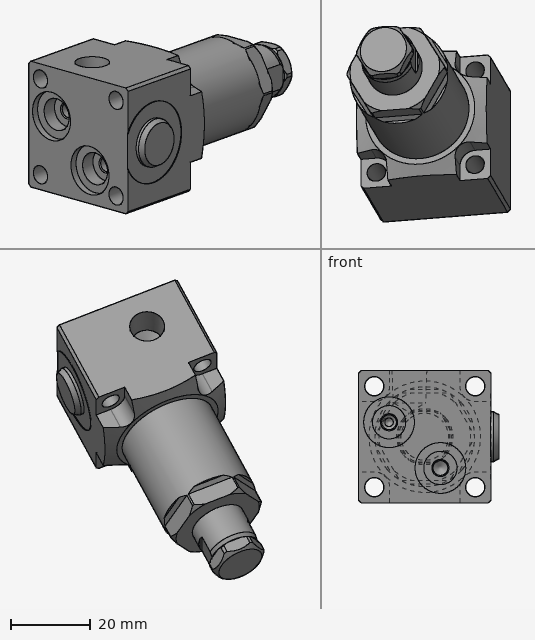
import cadquery as cq
import math


BLOCK_SIDE = 33.35
BLOCK_HALF = BLOCK_SIDE / 2
BLOCK_LENGTH = 30.2
EDGE_CHAMFER = 0.75
BACK_CONE_RADIUS = 14.0
BACK_CONE_SLOPE = 0.48

BOLT_OFFSET = 12.7
BOLT_HOLE_DIAMETER = 4.75
BOLT_SEAT_Y = 23.7
BOLT_SEAT_RADIUS = 3.85

PORT_CENTERS = [(-9.0, 3.6), (3.9, -7.85)]
SEAL_RECESS_DIAMETER = 12.75
SEAL_RECESS_DEPTH = 1.9
PORT_BORE_DIAMETER = 8.4
PORT_BORE_END = 5.85
PASSAGE_MOUTH_DIAMETER = 4.3
PASSAGE_DIAMETER = 3.7
PASSAGE_END = 11.85
BLEED_DIAMETER = 2.15
BLEED_END = 14.8
DRILL_POINT_ANGLE = 118.0

TOP_PORT_X = -3.85
CROSS_AXIS_Y = 9.6
TOP_PORT_MOUTH_DIAMETER = 8.75
TOP_PORT_END_DIAMETER = 8.15
TOP_PORT_DEPTH = 8.15

PLUG_RADIUS = 6.3
PLUG_END_RADIUS = 5.55
PLUG_RIM_X = 17.3
PLUG_END_X = 18.7
SPOT_FACE_RADIUS = 10.7
SPOT_FACE_DEPTH = 0.2

BODY_RADIUS = 12.5
BODY_END = 60.5
BODY_CHAMFER = 1.05
BODY_FLAT = 11.0
BODY_FLAT_START = 56.0
BODY_RUNOUT_LENGTH = 1.0
BODY_RUNOUT_RISE = 0.9

STEM_RADIUS = 7.05
STEM_END = 70.55
STEM_CHAMFER_LENGTH = 1.1
STEM_TIP_RADIUS = 6.7
STEM_FLAT = 6.2
STEM_FLAT_START = 64.7
STEM_RUNOUT = 0.4

NUT_END = 74.1
NUT_RADIUS = 7.1
NUT_FLAT = 6.4
NUT_FRONT_RADIUS = 6.7
NUT_FRONT_CHAMFER = 0.45
NUT_TIP_RADIUS = 5.9
NUT_TIP_CHAMFER = 1.2

HEX_ANGLES = [60 * i for i in range(6)]
STEM_FLAT_ANGLES = [90, 270]
CLEAR = 22.2


def turned(profile, x=0.0, z=0.0):
    """Revolve (radius, y) points about a line parallel to Y through (x, z)."""
    start_y = profile[0][1]
    end_radius, end_y = profile[-1]
    points = [(0, start_y)] + profile
    if end_radius > 0:
        points.append((0, end_y))
    solid = cq.Workplane("XY").polyline(points).close().revolve(360, (0, 0, 0), (0, 1, 0))
    return solid.translate((x, 0, z))


def drill_tip(radius):
    """Length of the conical end left by a drill."""
    return radius / math.tan(math.radians(DRILL_POINT_ANGLE / 2))


def cut_flats(solid, angles, flat, start, end, runout_length=0.0, runout_rise=0.0):
    """Cut flats at a distance from the Y axis; a run-out slopes up to a wall before the start."""
    wall_y = start - runout_length
    profile = [(end, flat), (start, flat)]
    if runout_length > 0:
        profile.append((wall_y, flat + runout_rise))
    profile += [(wall_y, CLEAR), (end, CLEAR)]
    cutter = cq.Workplane("YZ").polyline(profile).close().extrude(CLEAR, both=True)
    for angle in angles:
        solid = solid.cut(cutter.rotate((0, 0, 0), (0, 1, 0), angle))
    return solid


def make_block():
    block = (
        cq.Workplane("XY")
        .box(BLOCK_SIDE, BLOCK_LENGTH, BLOCK_SIDE, centered=(True, False, True))
        .edges("|Y")
        .chamfer(EDGE_CHAMFER)
    )
    outer_radius = BLOCK_SIDE
    cone_drop = BACK_CONE_SLOPE * (outer_radius - BACK_CONE_RADIUS)
    envelope = turned([
        (outer_radius, 0),
        (outer_radius, BLOCK_LENGTH - cone_drop),
        (BACK_CONE_RADIUS, BLOCK_LENGTH),
    ])
    return block.intersect(envelope)


def cut_bolt_corners(block):
    """Through holes with round-cornered bolt head seats open to both outer sides."""
    seat_inner = BOLT_OFFSET - BOLT_SEAT_RADIUS
    seat_side = CLEAR - seat_inner
    seat = (
        cq.Workplane("XY")
        .box(seat_side, CLEAR, seat_side, centered=False)
        .edges("|Y and <X and <Z")
        .fillet(BOLT_SEAT_RADIUS)
        .translate((seat_inner, BOLT_SEAT_Y, seat_inner))
    )
    hole = turned([(BOLT_HOLE_DIAMETER / 2, 0), (BOLT_HOLE_DIAMETER / 2, BLOCK_LENGTH)])
    corner = seat.union(hole.translate((BOLT_OFFSET, 0, BOLT_OFFSET)))
    for quarter in range(4):
        block = block.cut(corner.rotate((0, 0, 0), (0, 1, 0), 90 * quarter))
    return block


def cut_face_ports(block):
    recess_radius = SEAL_RECESS_DIAMETER / 2
    bore_radius = PORT_BORE_DIAMETER / 2
    mouth_radius = PASSAGE_MOUTH_DIAMETER / 2
    passage_radius = PASSAGE_DIAMETER / 2
    port = [
        (recess_radius, 0),
        (recess_radius, SEAL_RECESS_DEPTH),
        (bore_radius, SEAL_RECESS_DEPTH),
        (bore_radius, PORT_BORE_END),
        (mouth_radius, PORT_BORE_END),
        (passage_radius, PORT_BORE_END + mouth_radius - passage_radius),
        (passage_radius, PASSAGE_END),
        (0, PASSAGE_END + drill_tip(passage_radius)),
    ]
    for x, z in PORT_CENTERS:
        block = block.cut(turned(port, x, z))
    bleed_radius = BLEED_DIAMETER / 2
    bleed = [
        (bleed_radius, PASSAGE_END),
        (bleed_radius, BLEED_END),
        (0, BLEED_END + drill_tip(bleed_radius)),
    ]
    x, z = PORT_CENTERS[0]
    return block.cut(turned(bleed, x, z))


def cut_top_port(block):
    mouth_radius = TOP_PORT_MOUTH_DIAMETER / 2
    end_radius = TOP_PORT_END_DIAMETER / 2
    profile = [
        (0, 0),
        (mouth_radius, 0),
        (end_radius, -TOP_PORT_DEPTH),
        (0, -TOP_PORT_DEPTH - drill_tip(end_radius)),
    ]
    port = cq.Workplane("XZ").polyline(profile).close().revolve(360, (0, 0, 0), (0, 1, 0))
    return block.cut(port.translate((TOP_PORT_X, CROSS_AXIS_Y, BLOCK_HALF)))


def add_side_plug(block):
    spot_floor = BLOCK_HALF - SPOT_FACE_DEPTH
    spot_plane = cq.Workplane("YZ", origin=(spot_floor, CROSS_AXIS_Y, 0))
    block = block.cut(spot_plane.circle(SPOT_FACE_RADIUS).extrude(CLEAR))
    profile = [
        (spot_floor, 0),
        (spot_floor, PLUG_RADIUS),
        (PLUG_RIM_X, PLUG_RADIUS),
        (PLUG_END_X, PLUG_END_RADIUS),
        (PLUG_END_X, 0),
    ]
    plug = cq.Workplane("XY").polyline(profile).close().revolve(360, (0, 0, 0), (1, 0, 0))
    return block.union(plug.translate((0, CROSS_AXIS_Y, 0)))


def make_body():
    body = turned([
        (BODY_RADIUS, BLOCK_LENGTH),
        (BODY_RADIUS, BODY_END - BODY_CHAMFER),
        (BODY_RADIUS - BODY_CHAMFER, BODY_END),
    ])
    return cut_flats(body, HEX_ANGLES, BODY_FLAT, BODY_FLAT_START, BODY_END,
                     BODY_RUNOUT_LENGTH, BODY_RUNOUT_RISE)


def make_stem():
    stem = turned([
        (STEM_RADIUS, BODY_END),
        (STEM_RADIUS, STEM_END - STEM_CHAMFER_LENGTH),
        (STEM_TIP_RADIUS, STEM_END),
    ])
    return cut_flats(stem, STEM_FLAT_ANGLES, STEM_FLAT, STEM_FLAT_START, STEM_END,
                     STEM_RUNOUT, STEM_RUNOUT)


def make_nut():
    nut = turned([
        (NUT_FRONT_RADIUS, STEM_END),
        (NUT_RADIUS, STEM_END + NUT_FRONT_CHAMFER),
        (NUT_RADIUS, NUT_END - NUT_TIP_CHAMFER),
        (NUT_TIP_RADIUS, NUT_END),
    ])
    return cut_flats(nut, HEX_ANGLES, NUT_FLAT, STEM_END, NUT_END)


block = make_block()
block = cut_bolt_corners(block)
block = cut_face_ports(block)
block = cut_top_port(block)
block = add_side_plug(block)
result = block.union(make_body()).union(make_stem()).union(make_nut())